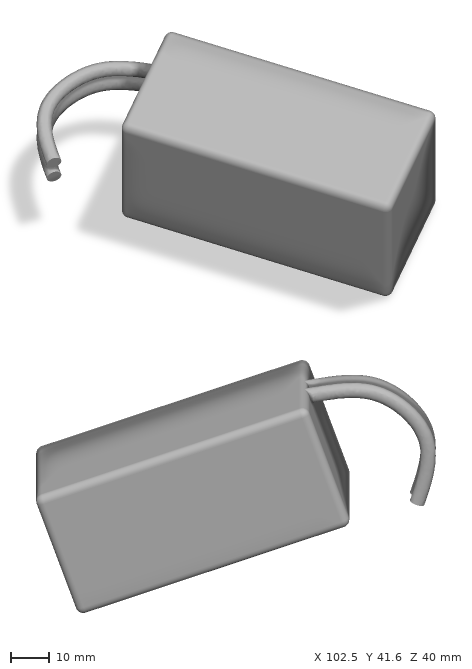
import cadquery as cq

housing_length = 76.0
housing_depth = 35.0
housing_height = 40.0
edge_radius = 2.0

wire_diameter = 4.0
wire_spacing = 6.0
wire_entry_inset = 2.7
wire_embed = 2.0
entry_slope = 0.2

shoulder_reach = 16.6
shoulder_drop = 8.1
bend_reach = 24.2
bend_drop = 20.6
tip_reach = 16.4
tip_drop = 40.4
tip_direction = (0.8, -1)

face_x = -housing_length / 2
back_y = housing_depth / 2


def make_housing():
    box = cq.Workplane("XY").box(housing_length, housing_depth, housing_height)
    return box.edges().fillet(edge_radius)


def make_wire(z):
    """Sweep a round wire along a curved path lying at height z."""
    start = (face_x + wire_embed, back_y - wire_entry_inset + wire_embed * entry_slope)
    shoulder = (face_x - shoulder_reach, back_y - shoulder_drop)
    bend = (face_x - bend_reach, back_y - bend_drop)
    tip = (face_x - tip_reach, back_y - tip_drop)
    start_direction = (-1, -entry_slope)
    path = cq.Workplane("XY", origin=(0, 0, z)).spline(
        [start, shoulder, bend, tip], tangents=[start_direction, tip_direction]
    )
    start_plane = cq.Plane(origin=(*start, z), xDir=(0, 0, 1), normal=(*start_direction, 0))
    return cq.Workplane(start_plane).circle(wire_diameter / 2).sweep(path)


result = make_housing()
for side in (-1, 1):
    result = result.union(make_wire(side * wire_spacing / 2))